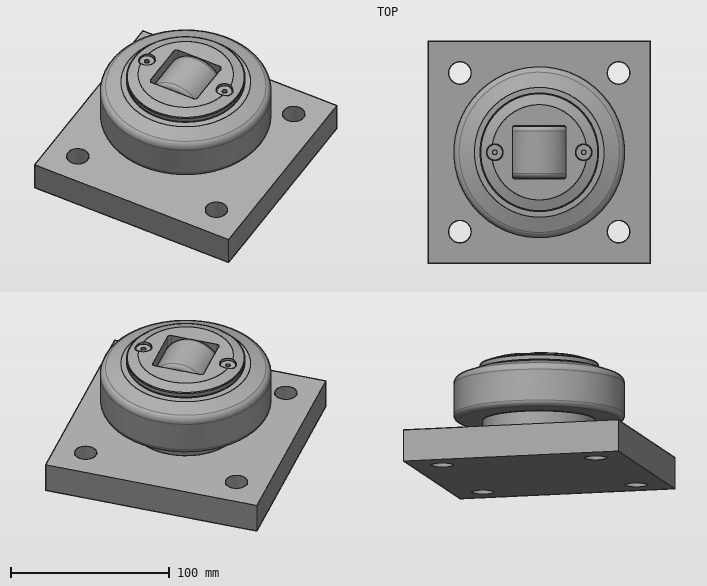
import cadquery as cq
import math

plate_side = 140.0
plate_thickness = 20.0
bolt_spacing = 100.0
bolt_hole_diameter = 14.0

neck_diameter = 71.5
neck_edge_chamfer = 0.5

ring_diameter = 107.7
ring_bottom_z = 35.1
ring_top_z = 66.4
ring_flat_diameter = 81.8
ring_slope_angle = 20.0
ring_top_fillet = 5.0
ring_bottom_fillet = 3.2

cap_diameter = 74.8
cap_top_diameter = 60.0
cap_top_z = 73.0
cap_cone_bottom_z = 70.7
cap_edge_chamfer = 0.5
cap_foot_height = 0.5

screw_spacing = 56.0
screw_recess_diameter = 10.5
screw_head_diameter = 9.8
screw_head_top_z = 71.4
screw_head_height = 1.4
screw_socket_diameter = 3.0
screw_socket_depth = 2.8

window_side = 33.9
window_corner_radius = 2.0
window_floor_z = 56.0
roller_diameter = 38.4
roller_length = 32.5
roller_fillet = 3.0
roller_top_z = 75.0


def make_plate():
    plate = cq.Workplane("XY").box(plate_side, plate_side, plate_thickness, centered=(True, True, False))
    holes = (
        cq.Workplane("XY")
        .rect(bolt_spacing, bolt_spacing, forConstruction=True)
        .vertices()
        .circle(bolt_hole_diameter / 2)
        .extrude(plate_thickness)
    )
    return plate.cut(holes)


def revolve_about_z(profile):
    return profile.close().revolve(360, (0, 0, 0), (0, 1, 0))


def make_neck():
    return (
        cq.Workplane("XY", origin=(0, 0, plate_thickness))
        .circle(neck_diameter / 2)
        .extrude(ring_bottom_z - plate_thickness)
        .faces("<Z or >Z")
        .edges()
        .chamfer(neck_edge_chamfer)
    )


def make_ring():
    radius = ring_diameter / 2
    flat_radius = ring_flat_diameter / 2
    slope = math.radians(ring_slope_angle)
    mid_slope = (slope + math.pi / 2) / 2

    fillet_center_r = radius - ring_top_fillet
    slope_end_r = fillet_center_r + ring_top_fillet * math.sin(slope)
    slope_end_z = ring_top_z - (slope_end_r - flat_radius) * math.tan(slope)
    fillet_center_z = slope_end_z - ring_top_fillet * math.cos(slope)
    fillet_middle = (
        fillet_center_r + ring_top_fillet * math.sin(mid_slope),
        fillet_center_z + ring_top_fillet * math.cos(mid_slope),
    )

    profile = (
        cq.Workplane("XZ")
        .moveTo(0, ring_bottom_z)
        .lineTo(radius - ring_bottom_fillet, ring_bottom_z)
        .radiusArc((radius, ring_bottom_z + ring_bottom_fillet), -ring_bottom_fillet)
        .lineTo(radius, fillet_center_z)
        .threePointArc(fillet_middle, (slope_end_r, slope_end_z))
        .lineTo(flat_radius, ring_top_z)
        .lineTo(0, ring_top_z)
    )
    return revolve_about_z(profile)


def make_cap():
    radius = cap_diameter / 2
    edge_radius = radius - cap_edge_chamfer
    rim_bottom_z = ring_top_z + cap_foot_height
    profile = (
        cq.Workplane("XZ")
        .moveTo(0, ring_top_z)
        .lineTo(edge_radius, ring_top_z)
        .lineTo(edge_radius, rim_bottom_z)
        .lineTo(radius, rim_bottom_z + cap_edge_chamfer)
        .lineTo(radius, cap_cone_bottom_z - cap_edge_chamfer)
        .lineTo(edge_radius, cap_cone_bottom_z)
        .lineTo(cap_top_diameter / 2, cap_top_z)
        .lineTo(0, cap_top_z)
    )
    return revolve_about_z(profile)


def make_window():
    return (
        cq.Workplane("XY", origin=(0, 0, window_floor_z))
        .rect(window_side, window_side)
        .extrude(cap_top_z - window_floor_z)
        .edges("|Z")
        .fillet(window_corner_radius)
    )


def make_roller():
    return (
        cq.Workplane("XZ", origin=(0, roller_length / 2, roller_top_z - roller_diameter / 2))
        .circle(roller_diameter / 2)
        .extrude(roller_length)
        .edges()
        .fillet(roller_fillet)
    )


def make_upright_cylinder(x, diameter, bottom_z, top_z):
    return cq.Workplane("XY", origin=(x, 0, bottom_z)).circle(diameter / 2).extrude(top_z - bottom_z)


def make_screw_recess(x):
    head_bottom_z = screw_head_top_z - screw_head_height
    recess = make_upright_cylinder(x, screw_recess_diameter, head_bottom_z, cap_top_z)
    head = make_upright_cylinder(x, screw_head_diameter, head_bottom_z, screw_head_top_z)
    socket = make_upright_cylinder(
        x, screw_socket_diameter, screw_head_top_z - screw_socket_depth, screw_head_top_z
    )
    return recess.cut(head).union(socket)


def make_bearing():
    bearing = make_neck().union(make_ring()).union(make_cap())
    bearing = bearing.cut(make_window()).union(make_roller())
    for side in (-1, 1):
        bearing = bearing.cut(make_screw_recess(side * screw_spacing / 2))
    return bearing


plate = make_plate()
bearing = make_bearing()

result = cq.Compound.makeCompound([plate.val(), bearing.val()])